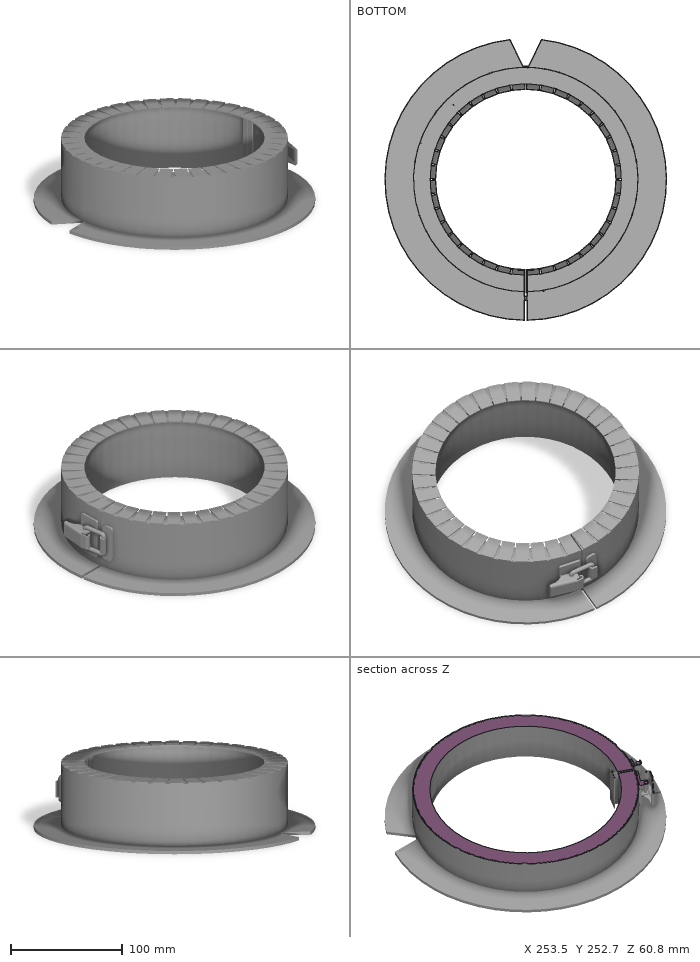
import cadquery as cq
import math

collar_height = 60.8
sheet = 1.0
wall_radius = 102.0
flange_radius = 126.75
flange_thickness = 3.0
flange_gap = 2.3
notch_root_width = 5.2
notch_rim_width = 28.4

finger_count = 40
finger_width = 11.8
finger_tip_radius = 80.9

closure_gap = 1.0
return_half_width = 7.0

insert_inner_radius = 86.0
layer_count = 6

latch_z = 30.0
plate_thickness = 2.0

wire_diameter = 4.0
bail_height = 24.8
bail_hook_x = -8.1
bail_pivot_x = 13.6
bail_y = 107.0
bail_bend_radius = 2.3

catch_left_x = -14.5
catch_right_x = -3.8
catch_height = 35.0
catch_corner_radius = 3.5
hook_width = 15.0
hook_sheet = 1.5
hook_tip_x = -11.4

base_left_x = 2.3
base_right_x = 22.7
base_height = 37.6
base_corner_radius = 1.5
base_ear_left_x = 16.0
base_ear_right_x = 22.5
base_ear_top_y = 109.0
base_ear_sheet = 1.2
base_ear_chamfer = 1.5
base_ear_clearance = 0.1

lever_width = 16.2
lever_sheet = 1.2
lever_bend_radius = 2.3
bail_hole_diameter = 4.2
lever_top_left = (11.8, 115.6)
lever_top_right = (36.6, 109.9)
lever_tip_bottom_y = 107.4
lever_ear_right_bend_points = [(30.3, lever_tip_bottom_y), (26.5, 106.4)]
lever_ear_bottom_right = (22.8, 103.8)
lever_ear_bottom_left = (8.0, 105.6)
lever_ear_top_left_x = 8.6
roll_x = 7.0
roll_y = 112.5
roll_radius = 2.6
roll_width = 13.4

pin_diameter = 2.8
pin_x = 19.8
pin_y = 106.8

wall_inner_radius = wall_radius - sheet
wall_top = collar_height - sheet
return_outer_x = closure_gap / 2 + sheet
wire_radius = wire_diameter / 2
lever_inner_width = lever_width - 2 * lever_sheet
base_ear_width = lever_inner_width - 2 * base_ear_clearance
diagonal = math.sqrt(0.5)


def tube(outer_radius, inner_radius, height):
    """Ring standing on Z = 0."""
    return cq.Workplane("XY").circle(outer_radius).circle(inner_radius).extrude(height)


def block(x_min, x_max, y_min, y_max, z_min, z_max):
    size = (x_max - x_min, y_max - y_min, z_max - z_min)
    return cq.Workplane("XY").box(*size, centered=False).translate((x_min, y_min, z_min))


def latch_plane():
    return cq.Workplane("XY").workplane(offset=latch_z)


def slab(points, width):
    """Polygon in XY, extruded to the given width about the latch mid-plane."""
    return latch_plane().polyline(points).close().extrude(width / 2, both=True)


def cross_rod(x, y, diameter, length):
    """Rod along Z, centred on the latch mid-plane."""
    return latch_plane().center(x, y).circle(diameter / 2).extrude(length / 2, both=True)


def tangent_plate(left_x, right_x, height, corner_radius):
    """Flat plate resting on the wall, touching it midway between its two ends."""
    tilt = math.asin((left_x + right_x) / 2 / wall_radius)
    length = (right_x - left_x) / math.cos(tilt)
    plate = cq.Workplane("XY").box(length, plate_thickness, height)
    plate = plate.edges("|Y").fillet(corner_radius)
    plate = plate.translate((0, wall_radius + plate_thickness / 2, latch_z))
    return plate.rotate((0, 0, 0), (0, 0, 1), -math.degrees(tilt))


def make_flange():
    """Flat ring with a narrow gap at +Y and a V-shaped notch at -Y."""
    flange = tube(flange_radius, wall_inner_radius, flange_thickness)
    gap = block(-flange_gap / 2, flange_gap / 2, wall_radius, flange_radius, 0, flange_thickness)

    root_x = notch_root_width / 2
    rim_x = notch_rim_width / 2
    root_y = -math.sqrt(wall_radius**2 - root_x**2)
    rim_y = -math.sqrt(flange_radius**2 - rim_x**2)
    far_y = -flange_radius - 1
    far_x = rim_x + (rim_x - root_x) / (root_y - rim_y) * (rim_y - far_y)
    notch_points = [(-root_x, root_y), (root_x, root_y), (far_x, far_y), (-far_x, far_y)]
    notch = cq.Workplane("XY").polyline(notch_points).close().extrude(flange_thickness)
    return flange.cut(gap).cut(notch)


def make_finger(angle):
    """Parallel-sided finger, its outer end rounded to the wall."""
    half = finger_width / 2
    finger = block(finger_tip_radius, wall_radius, -half, half, wall_top, collar_height)
    finger = finger.intersect(cq.Workplane("XY").circle(wall_radius).extrude(collar_height))
    return finger.rotate((0, 0, 0), (0, 0, 1), angle)


def make_end_return():
    """Wall end on the +X side of the closure gap, bent inwards and then along the bore."""
    lip_outer_radius = finger_tip_radius + sheet
    near_x = closure_gap / 2
    web = block(near_x, return_outer_x, finger_tip_radius, wall_radius - sheet / 2, 0, wall_top)
    lip = block(near_x, return_half_width, finger_tip_radius, lip_outer_radius, 0, wall_top)
    return web.union(lip)


def make_housing():
    wall = tube(wall_radius, wall_inner_radius, wall_top)
    gap = block(-closure_gap / 2, closure_gap / 2, 0, flange_radius, 0, collar_height)
    body = make_flange().union(wall).cut(gap)
    end_return = make_end_return()
    body = body.union(end_return).union(end_return.mirror("YZ"))
    pitch = 360 / finger_count
    for index in range(finger_count):
        body = body.union(make_finger((index + 0.5) * pitch))
    return body


def make_insert():
    """Lining between the end returns; its layers are joined but keep their seams on the end faces."""
    layer_thickness = (wall_inner_radius - insert_inner_radius) / layer_count
    returns_space = block(-return_outer_x, return_outer_x, 0, wall_radius, 0, wall_top)
    lining = cq.Workplane("XY")
    for index in range(layer_count):
        inner_radius = insert_inner_radius + index * layer_thickness
        layer = tube(inner_radius + layer_thickness, inner_radius, wall_top).cut(returns_space)
        lining = lining.union(layer, clean=False)
    return lining


def make_bail():
    """Wire loop: a crossbar held by the catch, two legs, and ends turned in to the lever."""
    leg = bail_height / 2 - wire_radius
    end = lever_inner_width / 2
    bend = bail_bend_radius
    corner = bend * (1 - diagonal)
    left = bail_hook_x
    right = bail_pivot_x
    path = (
        cq.Workplane("XZ", origin=(0, bail_y, latch_z))
        .moveTo(right, -end)
        .lineTo(right, -leg + bend)
        .threePointArc((right - corner, -leg + corner), (right - bend, -leg))
        .lineTo(left + bend, -leg)
        .threePointArc((left + corner, -leg + corner), (left, -leg + bend))
        .lineTo(left, leg - bend)
        .threePointArc((left + corner, leg - corner), (left + bend, leg))
        .lineTo(right - bend, leg)
        .threePointArc((right - corner, leg - corner), (right, leg - bend))
        .lineTo(right, end)
    )
    start = cq.Workplane("XY", origin=(right, bail_y, latch_z - end))
    return start.circle(wire_radius).sweep(path)


def make_catch():
    """Plate with a sheet hook that rises inside the bail and folds back over its crossbar."""
    plate = tangent_plate(catch_left_x, catch_right_x, catch_height, catch_corner_radius)
    inner = wire_radius
    outer = wire_radius + hook_sheet
    x = bail_hook_x
    y = bail_y
    foot_y = wall_radius + plate_thickness / 2
    hook = (
        latch_plane()
        .moveTo(x + inner, foot_y)
        .lineTo(x + outer, foot_y)
        .lineTo(x + outer, y)
        .threePointArc((x + outer * diagonal, y + outer * diagonal), (x, y + outer))
        .lineTo(hook_tip_x, y + outer)
        .lineTo(hook_tip_x, y + inner)
        .lineTo(x, y + inner)
        .threePointArc((x + inner * diagonal, y + inner * diagonal), (x + inner, y))
        .close()
        .extrude(hook_width / 2, both=True)
    )
    return plate.union(hook)


def make_base():
    """Plate with two upright ears that carry the pivot pin inside the lever."""
    plate = tangent_plate(base_left_x, base_right_x, base_height, base_corner_radius)
    ear_points = [
        (base_ear_left_x, wall_radius),
        (base_ear_right_x, wall_radius - plate_thickness / 2),
        (base_ear_right_x, base_ear_top_y - base_ear_chamfer),
        (base_ear_right_x - base_ear_chamfer, base_ear_top_y),
        (base_ear_left_x, base_ear_top_y),
    ]
    ears = slab(ear_points, base_ear_width)
    ears = ears.cut(slab(ear_points, base_ear_width - 2 * base_ear_sheet))
    return plate.union(ears).cut(cross_rod(pin_x, pin_y, pin_diameter, lever_width))


def make_lever_roll():
    """Tongue that runs on from the lever's top sheet and rolls half a turn downwards."""
    outer = roll_radius
    inner = roll_radius - lever_sheet
    root_x = lever_top_left[0] + lever_sheet
    return (
        latch_plane()
        .moveTo(root_x, roll_y + inner)
        .lineTo(root_x, roll_y + outer)
        .lineTo(roll_x, roll_y + outer)
        .threePointArc((roll_x - outer, roll_y), (roll_x, roll_y - outer))
        .lineTo(roll_x, roll_y - inner)
        .threePointArc((roll_x - inner, roll_y), (roll_x, roll_y + inner))
        .close()
        .extrude(roll_width / 2, both=True)
    )


def make_lever():
    """Channel-shaped handle with rounded bends, open towards the base, and a rolled front tongue."""
    left_x, left_y = lever_top_left
    right_x, right_y = lever_top_right
    profile = [
        lever_top_left,
        lever_top_right,
        (right_x, lever_tip_bottom_y),
        *lever_ear_right_bend_points,
        lever_ear_bottom_right,
        lever_ear_bottom_left,
        (lever_ear_top_left_x, left_y - lever_bend_radius),
        (left_x, left_y - lever_bend_radius),
    ]
    along_top = cq.Vector(right_x - left_x, right_y - left_y, 0)
    top_edges = cq.selectors.ParallelDirSelector(along_top)
    slope = (right_y - left_y) / (right_x - left_x)
    body = slab(profile, lever_width).edges(top_edges).fillet(lever_bend_radius)

    cavity_right_x = right_x - lever_sheet
    cavity_left_y = left_y - lever_sheet - slope * left_x
    cavity_points = [
        (0, cavity_left_y),
        (cavity_right_x, cavity_left_y + slope * cavity_right_x),
        (cavity_right_x, wall_inner_radius),
        (0, wall_inner_radius),
    ]
    cavity = slab(cavity_points, lever_inner_width).edges(top_edges).fillet(lever_bend_radius - lever_sheet)
    body = body.cut(cavity).union(make_lever_roll())
    body = body.cut(cross_rod(bail_pivot_x, bail_y, bail_hole_diameter, lever_width))
    return body.cut(cross_rod(pin_x, pin_y, pin_diameter, lever_width))


housing = make_housing()
insert = make_insert()
catch = make_catch()
bail = make_bail()
base = make_base()
lever = make_lever()
pin = cross_rod(pin_x, pin_y, pin_diameter, lever_width)

bodies = [housing, insert, catch, bail, base, lever, pin]
result = cq.Compound.makeCompound([body.solids().val() for body in bodies])